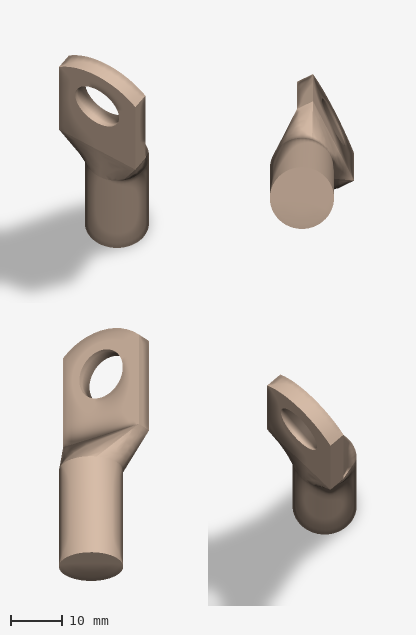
import cadquery as cq
import math

total_height = 52.95
tongue_width = 18.0
overall_depth = 13.2

barrel_diameter = 12.55
barrel_height = 20.95
barrel_radius = barrel_diameter / 2
barrel_center_y = overall_depth - barrel_radius

tongue_thickness = 3.5
tongue_base_z = 30.05
shoulder_z = 49.5
hole_diameter = 10.35
hole_z = 43.5

half_width = tongue_width / 2


def make_barrel():
    return cq.Workplane("XY").center(0, barrel_center_y).circle(barrel_radius).extrude(barrel_height)


def make_neck():
    """Ruled transition joining each quarter of the barrel rim to one side of the tongue."""
    diagonal = barrel_radius * math.cos(math.radians(45))
    front_y = barrel_center_y - diagonal
    back_y = barrel_center_y + diagonal
    rim = (
        cq.Workplane("XY", origin=(0, 0, barrel_height))
        .moveTo(-diagonal, front_y)
        .threePointArc((0, barrel_center_y - barrel_radius), (diagonal, front_y))
        .threePointArc((barrel_radius, barrel_center_y), (diagonal, back_y))
        .threePointArc((0, barrel_center_y + barrel_radius), (-diagonal, back_y))
        .threePointArc((-barrel_radius, barrel_center_y), (-diagonal, front_y))
        .close()
    )
    tongue_base = (
        cq.Workplane("XY", origin=(0, 0, tongue_base_z))
        .moveTo(-half_width, 0)
        .lineTo(half_width, 0)
        .lineTo(half_width, tongue_thickness)
        .lineTo(-half_width, tongue_thickness)
        .close()
    )
    return cq.Workplane(cq.Solid.makeLoft([rim.val(), tongue_base.val()], True))


def make_tongue():
    plate = (
        cq.Workplane("XZ")
        .moveTo(-half_width, tongue_base_z)
        .lineTo(half_width, tongue_base_z)
        .lineTo(half_width, shoulder_z)
        .threePointArc((0, total_height), (-half_width, shoulder_z))
        .close()
        .extrude(-tongue_thickness)
    )
    hole = cq.Workplane("XZ").center(0, hole_z).circle(hole_diameter / 2).extrude(-tongue_thickness)
    return plate.cut(hole)


result = make_barrel().union(make_neck()).union(make_tongue())